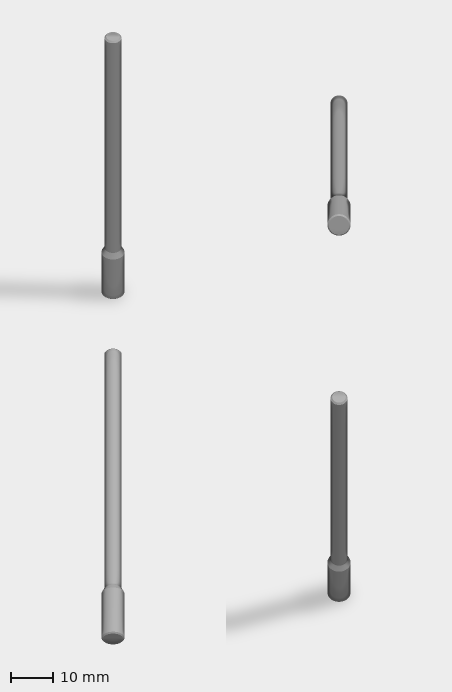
import cadquery as cq

TOTAL_LENGTH = 80.0

HEAD_DIAMETER = 5.4
HEAD_LENGTH = 14.1
TAPER_LENGTH = 1.4
HEAD_CHAMFER = 0.3

SHANK_DIAMETER = 4.0
SHANK_LENGTH = TOTAL_LENGTH - HEAD_LENGTH
SHANK_CHAMFER = 0.4


def make_head():
    """Cylinder with a chamfered lower edge and a cone narrowing upward to the shank diameter."""
    head_radius = HEAD_DIAMETER / 2
    profile = (
        cq.Workplane("XZ")
        .moveTo(0, 0)
        .lineTo(head_radius - HEAD_CHAMFER, 0)
        .lineTo(head_radius, HEAD_CHAMFER)
        .lineTo(head_radius, HEAD_LENGTH - TAPER_LENGTH)
        .lineTo(SHANK_DIAMETER / 2, HEAD_LENGTH)
        .lineTo(0, HEAD_LENGTH)
        .close()
    )
    return profile.revolve(360, (0, 0), (0, 1))


def make_shank():
    """Plain rod resting on the head, with a chamfered upper edge."""
    base = cq.Workplane("XY").workplane(offset=HEAD_LENGTH)
    shank = base.circle(SHANK_DIAMETER / 2).extrude(SHANK_LENGTH)
    return shank.faces(">Z").edges().chamfer(SHANK_CHAMFER)


head = make_head()
shank = make_shank()

result = cq.Compound.makeCompound([head.val(), shank.val()])